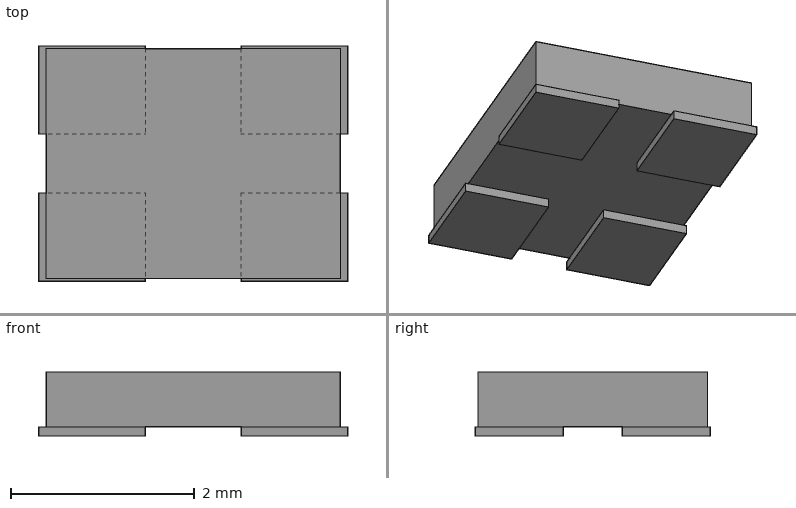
import cadquery as cq

overall_length = 3.36
overall_width = 2.56
overall_height = 0.7

pad_length = 1.16
pad_width = 0.96
pad_thickness = 0.1

housing_length = 3.2
housing_width = 2.5
housing_height = overall_height - pad_thickness


def make_housing():
    """Plain block resting on top of the pads."""
    return (
        cq.Workplane("XY")
        .workplane(offset=pad_thickness)
        .box(housing_length, housing_width, housing_height, centered=(True, True, False))
    )


def make_pad(x_side, y_side):
    """Flat pad in the corner given by the signs x_side and y_side."""
    center_x = x_side * (overall_length - pad_length) / 2
    center_y = y_side * (overall_width - pad_width) / 2
    return (
        cq.Workplane("XY")
        .center(center_x, center_y)
        .box(pad_length, pad_width, pad_thickness, centered=(True, True, False))
    )


housing = make_housing()
pads = [make_pad(x_side, y_side) for x_side in (-1, 1) for y_side in (-1, 1)]

result = cq.Compound.makeCompound([housing.val(), *[pad.val() for pad in pads]])